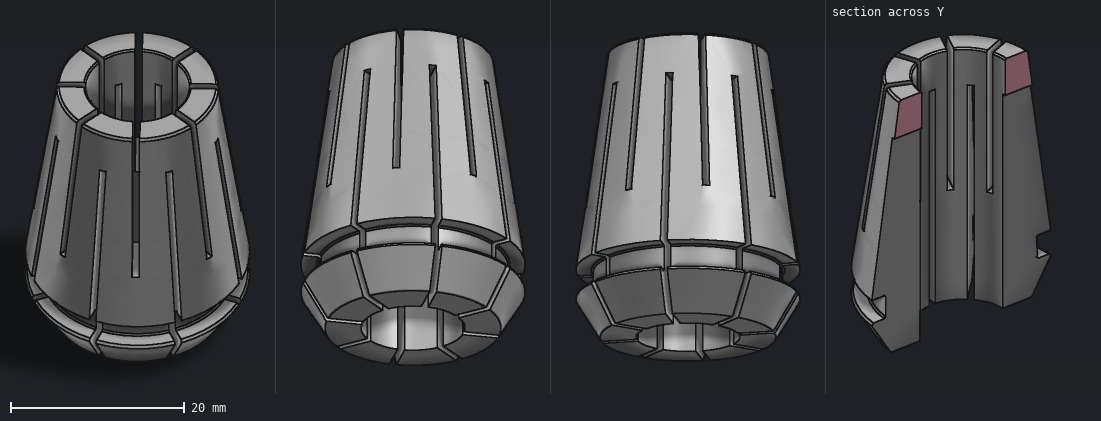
import cadquery as cq

height = 34.0
max_radius = 13.0
bore_radius = 12.0 / 2

taper_base_z = 8.05
taper_top_radius = 9.35

groove_radius = 10.98
groove_bottom_z = 4.93
nose_rim_z = 4.6
nose_end_radius = 10.3

top_chamfer = 0.27
bore_chamfer = 0.2
groove_root_chamfer = 0.2
nose_rim_chamfer = 0.25
nose_end_chamfer = 0.15

slots_per_end = 8
slot_pitch = 360.0 / slots_per_end
slot_width = 0.8
lower_slot_end_z = 29.0
upper_slot_end_z = 14.93


def collet_body():
    """Revolve the wall section (radius, height) around Z."""
    section = [
        (bore_radius, 0),
        (nose_end_radius - nose_end_chamfer, 0),
        (nose_end_radius, nose_end_chamfer),
        (max_radius, nose_rim_z),
        (max_radius - nose_rim_chamfer, groove_bottom_z),
        (groove_radius + groove_root_chamfer, groove_bottom_z),
        (groove_radius, groove_bottom_z + groove_root_chamfer),
        (groove_radius, taper_base_z - groove_root_chamfer),
        (groove_radius + groove_root_chamfer, taper_base_z),
        (max_radius, taper_base_z),
        (taper_top_radius, height - top_chamfer),
        (taper_top_radius - top_chamfer, height),
        (bore_radius + bore_chamfer, height),
        (bore_radius, height - bore_chamfer),
    ]
    return cq.Workplane("XZ").polyline(section).close().revolve(360, (0, 0), (0, 1))


def slot_ring(bottom_z, top_z, first_angle):
    """Evenly spaced radial slot cutters between two heights."""
    cutter = cq.Workplane("XY", origin=(0, 0, bottom_z)).box(
        2 * max_radius, slot_width, top_z - bottom_z, centered=(False, True, False)
    )
    ring = cq.Workplane("XY")
    for index in range(slots_per_end):
        angle = first_angle + index * slot_pitch
        ring = ring.add(cutter.rotate((0, 0, 0), (0, 0, 1), angle))
    return ring.combine()


lower_slots = slot_ring(0, lower_slot_end_z, 0)
upper_slots = slot_ring(upper_slot_end_z, height, slot_pitch / 2)

result = collet_body().cut(lower_slots).cut(upper_slots)